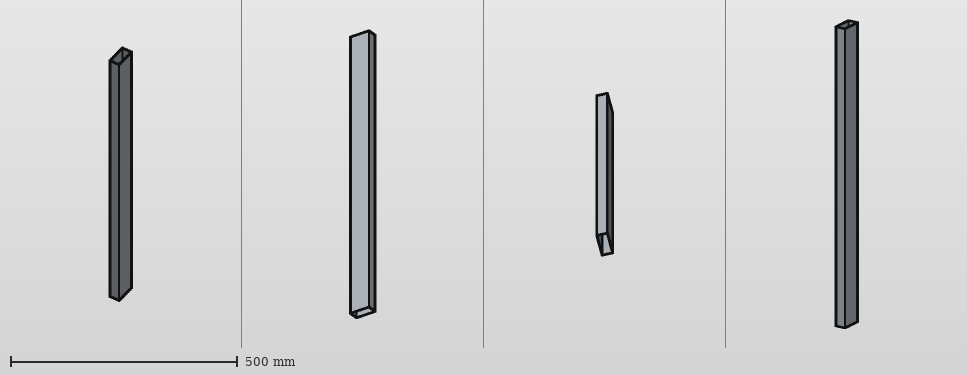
import cadquery as cq

width = 25.0
depth = 51.0
length = 700.0
wall = 1.25

outer = cq.Workplane("XY").rect(width, depth).extrude(length)
bore = cq.Workplane("XY").rect(width - 2 * wall, depth - 2 * wall).extrude(length)

result = outer.cut(bore)